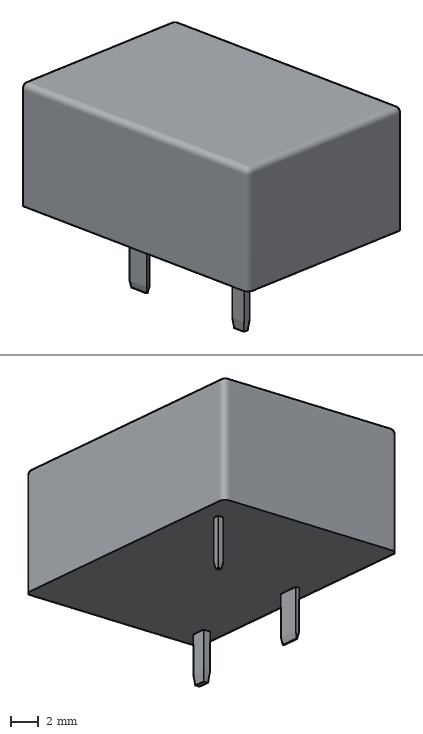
import cadquery as cq

HOUSING_LENGTH = 23.0
HOUSING_WIDTH = 16.11
HOUSING_HEIGHT = 9.7
EDGE_RADIUS = 0.5

PIN_LENGTH = 4.0
FRONT_ROW_Y = -6.56
BACK_ROW_Y = 6.14

COIL_PIN_X = -8.48
COIL_PIN_SIDE = 0.5

WIDE_PIN_X = -0.9
WIDE_PIN_WIDTH = 1.75
WIDE_PIN_THICKNESS = 0.3

THICK_PIN_X = 9.32
THICK_PIN_WIDTH = 1.2
THICK_PIN_THICKNESS = 0.6

SHORT_TIP_HEIGHT = 0.55
LONG_TIP_HEIGHT = 0.83
TIP_INSET = 0.1


def make_housing():
    """Box with rounded upright and top edges and a flat, sharp-edged underside."""
    box = cq.Workplane("XY").box(
        HOUSING_LENGTH, HOUSING_WIDTH, HOUSING_HEIGHT, centered=(True, True, False)
    )
    return box.edges("|Z or >Z").fillet(EDGE_RADIUS)


def make_pin(x, y, width, thickness, tip_height, tip_inset):
    """Leg hanging from the underside, its tip tapering evenly on all four sides."""
    shank_length = PIN_LENGTH - tip_height
    shank = (
        cq.Workplane("XY")
        .rect(width, thickness)
        .extrude(-shank_length)
    )
    tip = (
        cq.Workplane("XY")
        .workplane(offset=-shank_length)
        .rect(width, thickness)
        .workplane(offset=-tip_height)
        .rect(width - 2 * tip_inset, thickness - 2 * tip_inset)
        .loft(ruled=True)
    )
    return shank.union(tip).translate((x, y, 0))


housing = make_housing()
coil_pin = make_pin(
    COIL_PIN_X, BACK_ROW_Y, COIL_PIN_SIDE, COIL_PIN_SIDE, SHORT_TIP_HEIGHT, TIP_INSET
)
wide_pin = make_pin(
    WIDE_PIN_X, FRONT_ROW_Y, WIDE_PIN_WIDTH, WIDE_PIN_THICKNESS, SHORT_TIP_HEIGHT, TIP_INSET
)
thick_pin = make_pin(
    THICK_PIN_X, FRONT_ROW_Y, THICK_PIN_WIDTH, THICK_PIN_THICKNESS, LONG_TIP_HEIGHT, TIP_INSET
)

result = cq.Compound.makeCompound(
    [housing.val(), coil_pin.val(), wide_pin.val(), thick_pin.val()]
)